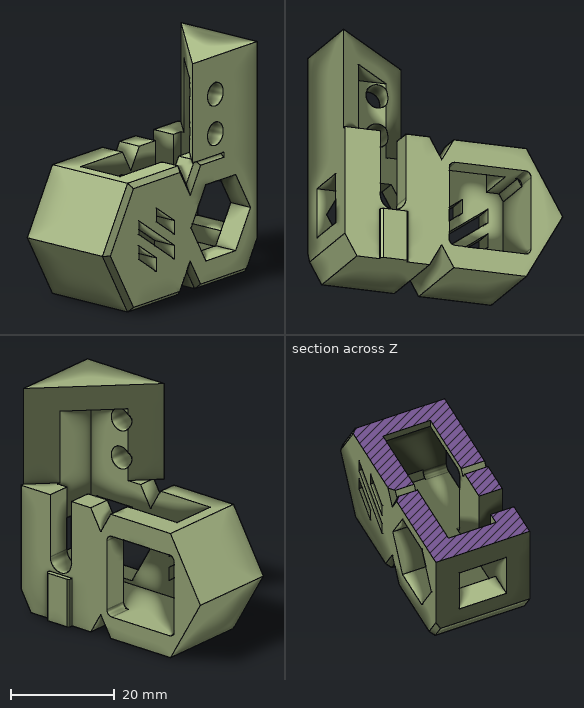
import cadquery as cq
import math


body_width = 20.0
body_height = 26.0
wall = 5.0
edge_bevel = 1.0
hex_side = body_height / math.sqrt(3)
hex_pitch = body_width
mid_z = body_height / 2
back_hex_y = -hex_pitch / 2
front_hex_y = back_hex_y - hex_pitch
notch_y = (back_hex_y + front_hex_y) / 2

total_height = 46
tower_leg = 19.3

inner_right = body_width - wall
tower_cavity_top = total_height - wall
opening_front_y = -35.0
window_size = 16.9
window_radius = 1.25
chamber_hex_height = 21.55

slot_width = 5.3
far_window_height = 15.35
far_window_y = -10.9
hole_diameter = 4.7
hole_y = -12.5
hole_heights = (30.3, 38.25)

tab_width = 5.7
tab_height = 10.0
tab_thickness = 1.0
tab_bevel = 0.4

slit_height = 2.75
slit_column = 5.35
slit_slope = 0.7
side_slit_offset = 5.0


def block(x_range, y_range, z_range):
    """Axis-aligned box between the given limits."""
    sizes = [high - low for low, high in (x_range, y_range, z_range)]
    return cq.Workplane("XY").box(*sizes, centered=False).translate((x_range[0], y_range[0], z_range[0]))


def hex_prism(center_y, height, x_start, x_end):
    """Hexagonal prism along X, flat on top and bottom, centred at mid height."""
    corner_diameter = 2 * height / math.sqrt(3)
    return (
        cq.Workplane("YZ", origin=(x_start, center_y, mid_z))
        .polygon(6, corner_diameter)
        .extrude(x_end - x_start)
    )


def make_body():
    """Bevelled hexagonal prisms, cut flat at the back and squared up at the top rear."""
    back, front = [
        hex_prism(y, body_height, 0, body_width).faces(">X").edges().chamfer(edge_bevel)
        for y in (back_hex_y, front_hex_y)
    ]
    behind = block((0, body_width), (0, hex_side), (0, body_height))
    rear_fill = block((0, body_width), (back_hex_y, 0), (mid_z, body_height))
    return back.union(front).cut(behind).union(rear_fill)


def make_tower():
    """Right-angled triangular column with its square corner at the back right."""
    return (
        cq.Workplane("XY", origin=(0, 0, body_height))
        .polyline([(body_width - tower_leg, 0), (body_width, 0), (body_width, -tower_leg)])
        .close()
        .extrude(total_height - body_height)
    )


def make_tab():
    """Small plate on the left side with bevelled upright edges."""
    return (
        block((-tab_thickness, 0), (back_hex_y - tab_width / 2, back_hex_y + tab_width / 2), (0, tab_height))
        .edges("|Z and <X")
        .chamfer(tab_bevel)
    )


def make_cavity():
    """Rear shaft up into the tower, open top over the front, and the front chamber."""
    inside = (wall, inner_right)
    chamber_bottom = mid_z - window_size / 2
    chamber_top = mid_z + window_size / 2
    chamber_front_y = front_hex_y - window_size / 2
    shaft = block(inside, (notch_y, -wall), (chamber_bottom, tower_cavity_top))
    opening = block(inside, (opening_front_y, notch_y), (mid_z, body_height))
    chamber = block(inside, (chamber_front_y, notch_y), (chamber_bottom, chamber_top))
    chamber = chamber.intersect(
        hex_prism(front_hex_y, chamber_hex_height, *inside)
        .union(block(inside, (front_hex_y, notch_y), (0, body_height)))
    )
    return shaft.union(opening).union(chamber)


def make_back_opening():
    """Square opening through the back wall, level with the middle of the hexagons."""
    half_height = (inner_right - wall) / 2
    return block((wall, inner_right), (-wall, 0), (mid_z - half_height, mid_z + half_height))


def make_left_openings():
    """Square window and round-bottomed slot through the left wall."""
    window = (
        cq.Workplane("YZ", origin=(0, front_hex_y, mid_z))
        .rect(window_size, window_size)
        .extrude(wall)
        .edges("|X")
        .fillet(window_radius)
    )
    slot_end = cq.Workplane("YZ", origin=(0, back_hex_y, mid_z)).circle(slot_width / 2).extrude(wall)
    slot = block((0, wall), (back_hex_y - slot_width / 2, back_hex_y + slot_width / 2), (mid_z, body_height))
    return window.union(slot_end).union(slot)


def make_slit(y_start, y_end, z_offset):
    """Parallelogram slit through the right wall, at a height offset from the long slit."""
    outline = []
    for y, side in ((y_start, -1), (y_end, -1), (y_end, 1), (y_start, 1)):
        outline.append((y, -slit_slope * y + z_offset + side * slit_height / 2))
    return (
        cq.Workplane("YZ", origin=(inner_right, front_hex_y, mid_z))
        .polyline(outline)
        .close()
        .extrude(wall)
    )


def make_right_openings():
    """Hexagonal window and three slanted slits through the right wall."""
    return (
        hex_prism(far_window_y, far_window_height, inner_right, body_width)
        .union(make_slit(-slit_column, slit_column, 0))
        .union(make_slit(0, slit_column, side_slit_offset))
        .union(make_slit(-slit_column, 0, -side_slit_offset))
    )


def make_tower_holes():
    """Two round cross holes through the tower."""
    return (
        cq.Workplane("YZ")
        .pushPoints([(hole_y, z) for z in hole_heights])
        .circle(hole_diameter / 2)
        .extrude(body_width)
    )


result = (
    make_body()
    .union(make_tower())
    .union(make_tab())
    .cut(make_cavity())
    .cut(make_back_opening())
    .cut(make_left_openings())
    .cut(make_right_openings())
    .cut(make_tower_holes())
)